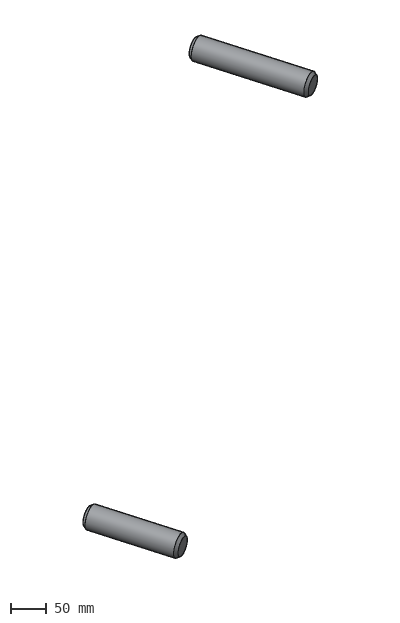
import cadquery as cq

PIN_DIAMETER = 38.5
LONG_PIN_LENGTH = 184.0
SHORT_PIN_LENGTH = 147.0
CHAMFER_LENGTH = 5.0
CHAMFER_DEPTH = 4.0
OVERALL_WIDTH = 386.5
OVERALL_HEIGHT = 639.0

AXIS_SPACING_Y = OVERALL_WIDTH - PIN_DIAMETER
AXIS_SPACING_Z = OVERALL_HEIGHT - PIN_DIAMETER


def make_pin(length, axis_y, axis_z):
    """Round pin along +X with both ends chamfered."""
    radius = PIN_DIAMETER / 2
    end_radius = radius - CHAMFER_DEPTH
    half_profile = (
        cq.Workplane("XY")
        .moveTo(0, 0)
        .lineTo(0, end_radius)
        .lineTo(CHAMFER_LENGTH, radius)
        .lineTo(length - CHAMFER_LENGTH, radius)
        .lineTo(length, end_radius)
        .lineTo(length, 0)
        .close()
    )
    pin = half_profile.revolve(360, (0, 0, 0), (1, 0, 0))
    return pin.translate((0, axis_y, axis_z))


short_pin = make_pin(SHORT_PIN_LENGTH, 0, 0)

long_pin = make_pin(LONG_PIN_LENGTH, AXIS_SPACING_Y, AXIS_SPACING_Z)

result = cq.Compound.makeCompound([short_pin.val(), long_pin.val()])